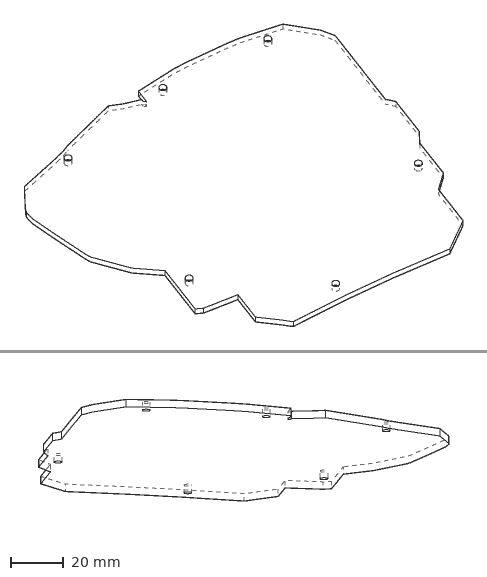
import cadquery as cq

width = 130.6
length = 148.2
thickness = 3.0
hole_diameter = 3.0

shoulder_y = 145.4
step_y = 139.6
right_foot_y = 47.6
ledge_y = 30.1
notch_y = 67.3
chamfer_x = 121.2
right_waist_x = 129.7
left_shoulder_x = 2.8
left_bow_x = 0.3

top_edge = [
    (left_shoulder_x, 131.3),
    (12.7, 142.0),
    (18.0, shoulder_y),
    (54.7, shoulder_y),
    (57.7, length),
    (74.9, length),
    (80.0, shoulder_y),
    (97.2, shoulder_y),
    (103.2, step_y),
    (chamfer_x, step_y),
]

right_edge = [
    (width, 128.0),
    (right_waist_x, 103.8),
    (right_waist_x, 83.6),
    (width, 58.8),
    (130.1, 58.1),
    (127.3, 55.0),
    (chamfer_x, right_foot_y),
    (108.3, right_foot_y),
    (107.3, 33.0),
    (106.0, ledge_y),
    (83.9, ledge_y),
]

lower_lobe = [
    (76.3, 20.0),
    (63.5, 9.3),
    (61.2, 8.5),
    (46.4, 3.5),
    (35.9, 0.3),
    (32.2, 0.0),
    (30.4, 0.6),
    (20.8, 6.0),
    (15.0, 23.4),
    (14.5, 24.3),
    (13.5, 27.4),
    (11.9, 30.5),
    (3.1, 53.8),
    (5.2, 59.1),
    (7.0, 66.3),
]

left_edge = [
    (8.0, 66.3),
    (8.9, notch_y),
    (left_shoulder_x, notch_y),
    (left_bow_x, 84.6),
    (0.0, 90.4),
    (0.0, 108.3),
    (left_bow_x, 114.1),
]

left_hole_x = 6.1
hole_centers = [
    (left_hole_x, 122.7),
    (left_hole_x, 76.2),
    (88.2, 139.8),
    (122.7, 82.3),
    (91.7, 36.0),
    (17.2, 27.4),
]


def make_plate():
    outline = top_edge + right_edge + lower_lobe + left_edge
    return cq.Workplane("XY").polyline(outline).close().extrude(thickness)


def make_holes():
    return cq.Workplane("XY").pushPoints(hole_centers).circle(hole_diameter / 2).extrude(thickness)


result = make_plate().cut(make_holes())